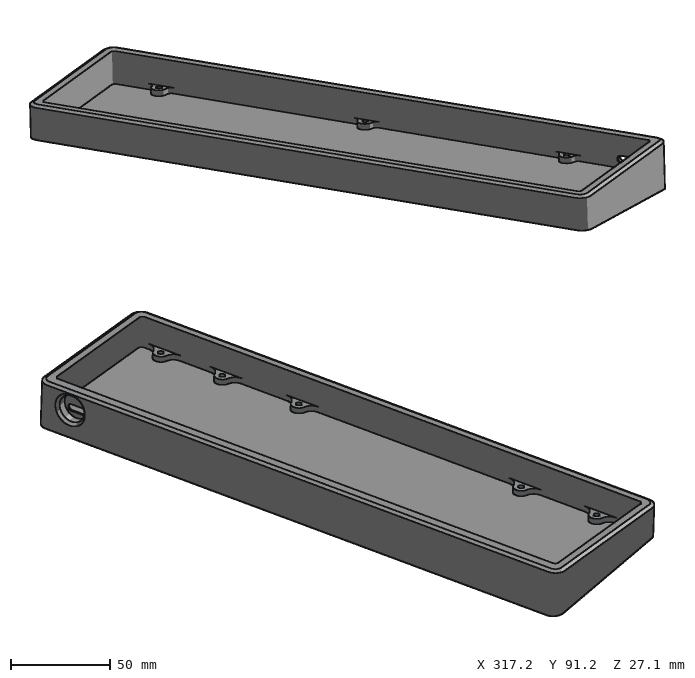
import cadquery as cq
import math

LENGTH = 317.2
WIDTH = 90.0
CORNER_RADIUS = 6.0
BACK_HEIGHT = 27.3
RIM_TILT = 3.0
UNDERSIDE_TILT = 2.0
WEDGE_ANGLE = RIM_TILT + UNDERSIDE_TILT
CHAMFER_INSET = 2.05
RIM_CHAMFER_DROP = 1.1
UNDERSIDE_CHAMFER_DROP = 0.8

WALL = 6.0
BACK_WALL = 7.0
CAVITY_DEPTH = 17.8
CAVITY_CORNER_RADIUS = 2.0
FLOOR_Z = -CAVITY_DEPTH
CAVITY_LENGTH = LENGTH - 2 * WALL
CAVITY_FRONT_Y = -WIDTH / 2 + WALL
CAVITY_BACK_Y = WIDTH / 2 - BACK_WALL
CAVITY_WIDTH = CAVITY_BACK_Y - CAVITY_FRONT_Y

BOSS_DIAMETER = 8.2
BOSS_RADIUS = BOSS_DIAMETER / 2
BOSS_HEIGHT = 3.2
BACK_FLARE_RADIUS = 3.0
FRONT_FLARE_RADIUS = 5.7
SCREW_HOLE_DIAMETER = 3.1
BACK_BOSSES = ((-125.3, 2.5), (-9.0, 1.5), (105.3, 1.5))
FRONT_BOSS_X = (-127.5, -81.5, 54.0, 100.5, 138.0)
FRONT_BOSS_OFFSET = 3.5

PORT_X = 138.3
SLOT_Z = FLOOR_Z + 4.8
PLUG_RECESS_Z = FLOOR_Z + 7.3
SLOT_LENGTH = 10.5
SLOT_HEIGHT = 3.8
PLUG_RECESS_DIAMETER = 15.0
PLUG_RECESS_DEPTH = 6.0
PLUG_RECESS_CHAMFER = 1.5

FOOT_DIAMETER = 8.2
FOOT_DEPTH = 1.0
FOOT_END_INSET = 9.2
FOOT_SIDE_INSET = 12.7


def make_shell():
    """Wedge-shaped block with rounded corners, chamfered along the rim and the underside."""
    block = (
        cq.Workplane("XY")
        .rect(LENGTH, WIDTH)
        .extrude(-BACK_HEIGHT)
        .edges("|Z")
        .fillet(CORNER_RADIUS)
    )
    front_rise = WIDTH * math.tan(math.radians(WEDGE_ANGLE))
    wedge = (
        cq.Workplane("YZ")
        .moveTo(WIDTH / 2, -BACK_HEIGHT)
        .lineTo(-WIDTH / 2, -BACK_HEIGHT)
        .lineTo(-WIDTH / 2, -BACK_HEIGHT + front_rise)
        .close()
        .extrude(LENGTH / 2, both=True)
    )
    block = block.cut(wedge)
    block = block.faces(">Z").chamfer(RIM_CHAMFER_DROP, CHAMFER_INSET)
    return block.faces("<Z").chamfer(UNDERSIDE_CHAMFER_DROP, CHAMFER_INSET)


def make_cavity():
    """Straight-sided cavity with its floor parallel to the rim."""
    return (
        cq.Workplane("XY")
        .center(0, (CAVITY_FRONT_Y + CAVITY_BACK_Y) / 2)
        .rect(CAVITY_LENGTH, CAVITY_WIDTH)
        .extrude(FLOOR_Z)
        .edges("|Z")
        .fillet(CAVITY_CORNER_RADIUS)
    )


def make_boss(wall_offset, flare_radius):
    """Boss standing on z = 0 and flared into a back wall at y = 0."""
    root_width = 2 * (BOSS_DIAMETER + flare_radius)
    root_depth = WALL / 2
    post = (
        cq.Workplane("XY")
        .center(0, -wall_offset)
        .circle(BOSS_RADIUS)
        .extrude(BOSS_HEIGHT)
    )
    root = (
        cq.Workplane("XY")
        .center(0, root_depth / 2)
        .rect(root_width, root_depth)
        .extrude(BOSS_HEIGHT)
    )
    wall_band = cq.selectors.BoxSelector(
        (-BOSS_RADIUS, -wall_offset / 2, 0),
        (BOSS_RADIUS, root_depth / 2, BOSS_HEIGHT),
    )
    corners = post.union(root).edges("|Z").edges(wall_band)
    boss = corners.fillet(flare_radius)
    hole = (
        cq.Workplane("XY")
        .center(0, -wall_offset)
        .circle(SCREW_HOLE_DIAMETER / 2)
        .extrude(BOSS_HEIGHT)
    )
    return boss.cut(hole)


def make_port():
    """Round plug recess from outside, with a rounded slot on through to the cavity."""
    recess = (
        cq.Workplane("XZ", origin=(PORT_X, WIDTH / 2, PLUG_RECESS_Z))
        .circle(PLUG_RECESS_DIAMETER / 2)
        .extrude(PLUG_RECESS_DEPTH)
    )
    mouth = (
        cq.Workplane("XZ", origin=(PORT_X, WIDTH / 2, PLUG_RECESS_Z))
        .circle(PLUG_RECESS_DIAMETER / 2 + PLUG_RECESS_CHAMFER)
        .extrude(PLUG_RECESS_CHAMFER, taper=45)
    )
    slot = (
        cq.Workplane("XZ", origin=(PORT_X, WIDTH / 2, SLOT_Z))
        .slot2D(SLOT_LENGTH, SLOT_HEIGHT)
        .extrude(BACK_WALL)
    )
    return recess.union(mouth).union(slot)


def make_foot_recesses():
    """Four shallow round recesses, square to the sloping underside."""
    foot_x = LENGTH / 2 - FOOT_END_INSET
    foot_y = WIDTH / 2 - FOOT_SIDE_INSET
    mid_rise = WIDTH / 2 * math.tan(math.radians(WEDGE_ANGLE))
    return (
        cq.Workplane("XY")
        .rect(2 * foot_x, 2 * foot_y, forConstruction=True)
        .vertices()
        .circle(FOOT_DIAMETER / 2)
        .extrude(FOOT_DEPTH)
        .rotate((0, 0, 0), (1, 0, 0), -WEDGE_ANGLE)
        .translate((0, 0, -BACK_HEIGHT + mid_rise))
    )


case = make_shell().cut(make_cavity())
for boss_x, offset in BACK_BOSSES:
    back_boss = make_boss(offset, BACK_FLARE_RADIUS)
    case = case.union(back_boss.translate((boss_x, CAVITY_BACK_Y, FLOOR_Z)))
for boss_x in FRONT_BOSS_X:
    front_boss = make_boss(FRONT_BOSS_OFFSET, FRONT_FLARE_RADIUS).mirror("XZ")
    case = case.union(front_boss.translate((boss_x, CAVITY_FRONT_Y, FLOOR_Z)))
case = case.cut(make_port()).cut(make_foot_recesses())

result = case.rotate((0, 0, 0), (1, 0, 0), RIM_TILT)